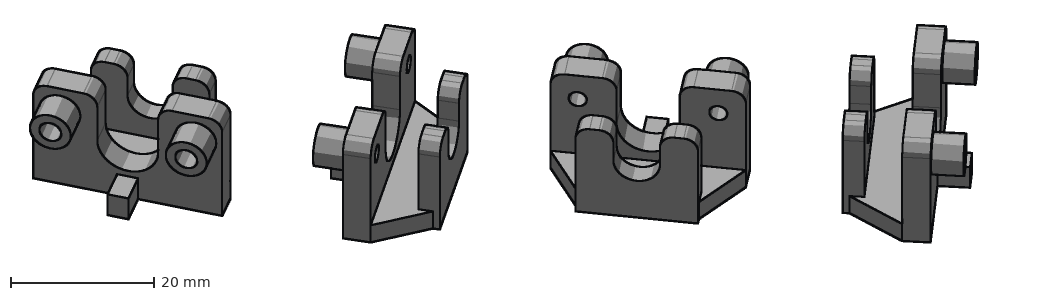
import cadquery as cq

width = 27.6
height = 17.33
depth = 17.3

front_plate_y = 4.55
front_plate_thickness = 3.97
front_slot_x = width / 2
front_slot_width = 8.9
front_slot_bottom = 4.8

rear_plate_left = 5.4
rear_plate_width = 17.3
rear_plate_height = 15.25
rear_plate_thickness = 3.05
rear_slot_x = rear_plate_left + rear_plate_width / 2
rear_slot_width = 6.57
rear_slot_bottom = 6.7

corner_radius = 2.01

floor_height = 3.15
floor_end_y = 16.3

boss_diameter = 6.0
boss_bore = 3.2
plate_bore = 2.55
boss_front_y = 0.05
boss_z = 13.05
boss_left_x = 3.9
boss_spacing = 19.85

block_left = 12.25
block_width = 3.05
block_height = 3.8

front_plate_back_y = front_plate_y + front_plate_thickness


def slotted_plate(left, y, size, thickness, slot_x, slot_width, slot_bottom):
    """Upright plate with a U slot in its top edge and four rounded top corners."""
    plate_width, plate_height = size
    slot_radius = slot_width / 2
    slot_left = slot_x - slot_radius
    slot_right = slot_x + slot_radius
    arc_z = slot_bottom + slot_radius
    right = left + plate_width
    return (
        cq.Workplane("XZ", origin=(0, y, 0))
        .moveTo(left, 0)
        .lineTo(right, 0)
        .lineTo(right, plate_height)
        .lineTo(slot_right, plate_height)
        .lineTo(slot_right, arc_z)
        .threePointArc((slot_x, slot_bottom), (slot_left, arc_z))
        .lineTo(slot_left, plate_height)
        .lineTo(left, plate_height)
        .close()
        .extrude(-thickness)
        .edges("|Y and >Z")
        .fillet(corner_radius)
    )


def cylinder_along_y(x, diameter, start_y, end_y):
    """Cylinder on a boss axis, running from start_y to end_y."""
    return (
        cq.Workplane("XZ", origin=(x, start_y, boss_z))
        .circle(diameter / 2)
        .extrude(start_y - end_y)
    )


def tapered_floor():
    """Trapezoidal floor from the front plate to the sides of the rear plate."""
    corners = [
        (0, front_plate_back_y),
        (width, front_plate_back_y),
        (rear_plate_left + rear_plate_width, floor_end_y),
        (rear_plate_left, floor_end_y),
    ]
    return cq.Workplane("XY").polyline(corners).close().extrude(floor_height)


def locating_block():
    """Block standing out from the foot of the front plate."""
    return (
        cq.Workplane("XY")
        .box(block_width, front_plate_y, block_height, centered=False)
        .translate((block_left, 0, 0))
    )


front_plate = slotted_plate(
    0, front_plate_y, (width, height), front_plate_thickness,
    front_slot_x, front_slot_width, front_slot_bottom,
)
rear_plate = slotted_plate(
    rear_plate_left, depth - rear_plate_thickness, (rear_plate_width, rear_plate_height),
    rear_plate_thickness, rear_slot_x, rear_slot_width, rear_slot_bottom,
)

for boss_x in (boss_left_x, boss_left_x + boss_spacing):
    boss = cylinder_along_y(boss_x, boss_diameter, boss_front_y, front_plate_y)
    wide_bore = cylinder_along_y(boss_x, boss_bore, boss_front_y, front_plate_y)
    narrow_bore = cylinder_along_y(boss_x, plate_bore, front_plate_y, front_plate_back_y)
    front_plate = front_plate.union(boss).cut(wide_bore).cut(narrow_bore)

result = front_plate.union(tapered_floor()).union(rear_plate).union(locating_block())